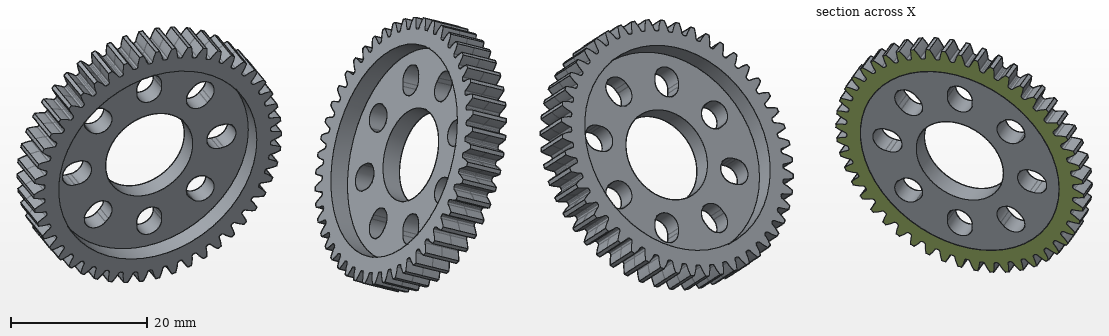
import cadquery as cq
import math

tooth_count = 48
module = 0.8
pressure_angle = math.radians(20)
face_width = 6.0
addendum = module
root_clearance = 0.16 * module
dedendum = addendum + root_clearance
root_fillet = 0.38 * module

pitch_radius = module * tooth_count / 2
tip_radius = pitch_radius + addendum
root_radius = pitch_radius - dedendum
base_radius = pitch_radius * math.cos(pressure_angle)
tooth_pitch = 2 * math.pi / tooth_count

bore_diameter = 14.05
slot_count = 8
slot_width = 4.0
slot_inner_centre = 11.3
slot_outer_centre = 12.0

recess_diameter = 32.0
recess_depth = face_width / 2

flank_points = 5


def involute(angle):
    return math.tan(angle) - angle


def half_tooth_angle(radius):
    """Half of the angle a tooth spans at the given radius."""
    local_pressure_angle = math.acos(base_radius / radius)
    return tooth_pitch / 4 + involute(pressure_angle) - involute(local_pressure_angle)


def polar(radius, angle):
    return (radius * math.cos(angle), radius * math.sin(angle))


def flank(gap_angle, side):
    """Points of one side of a tooth gap, from the tip circle down to the root circle."""
    points = []
    for step in range(flank_points):
        radius = tip_radius - (tip_radius - root_radius) * step / (flank_points - 1)
        half_gap = tooth_pitch / 2 - half_tooth_angle(radius)
        points.append(polar(radius, gap_angle + side * half_gap))
    return points


def gear_blank():
    """Full toothed disc, traced tooth by tooth: gap, then tip land."""
    outline = cq.Workplane("YZ").moveTo(*flank(tooth_pitch / 2, -1)[0])
    for tooth in range(tooth_count):
        gap_angle = (tooth + 0.5) * tooth_pitch
        falling = flank(gap_angle, -1)
        rising = flank(gap_angle, 1)[::-1]
        next_tooth = gap_angle + tooth_pitch / 2
        next_gap_start = flank(gap_angle + tooth_pitch, -1)[0]
        outline = (
            outline.spline(falling[1:], includeCurrent=True)
            .threePointArc(polar(root_radius, gap_angle), rising[0])
            .spline(rising[1:], includeCurrent=True)
            .threePointArc(polar(tip_radius, next_tooth), next_gap_start)
        )
    return outline.close().extrude(face_width / 2, both=True)


def round_tooth_roots(gear):
    """Fillet the axial edges where the flanks meet the root circle."""
    root_edges = []
    for edge in gear.edges("|X").vals():
        centre = edge.Center()
        if math.hypot(centre.y, centre.z) < pitch_radius:
            root_edges.append(edge)
    return gear.newObject(root_edges).fillet(root_fillet)


def cut_radial_slots(gear):
    slot_length = slot_outer_centre - slot_inner_centre + slot_width
    slot_centre_radius = (slot_inner_centre + slot_outer_centre) / 2
    slots = (
        cq.Workplane("YZ")
        .polarArray(slot_centre_radius, 0, 360, slot_count)
        .slot2D(slot_length, slot_width)
        .extrude(face_width / 2, both=True)
    )
    return gear.cut(slots)


def cut_bore(gear):
    bore = cq.Workplane("YZ").circle(bore_diameter / 2).extrude(face_width / 2, both=True)
    return gear.cut(bore)


def cut_recess(gear):
    recess = (
        cq.Workplane("YZ")
        .workplane(offset=face_width / 2 - recess_depth)
        .circle(recess_diameter / 2)
        .extrude(recess_depth)
    )
    return gear.cut(recess)


toothed_disc = round_tooth_roots(gear_blank())
result = cut_recess(cut_bore(cut_radial_slots(toothed_disc)))